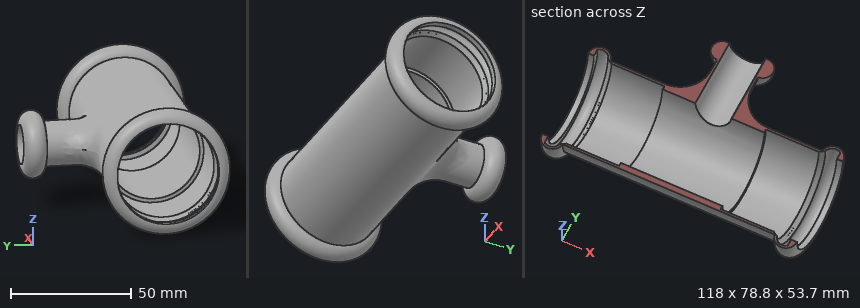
import cadquery as cq
import math

length = 118.0
pipe_radius = 22.5
wall = 1.3
socket_radius = pipe_radius - wall
bore_radius = 19.6
socket_depth = 35.4

bead_width = 10.0
bead_diameter = 53.7
bead_radius = bead_width / 2
bead_outer_radius = bead_diameter / 2
bead_center_radius = bead_outer_radius - bead_radius

lip_radius = 21.5
lip_length = 2.8
groove_radius = bead_radius - wall
groove_end = 8.6
cone_end = 11.0

overall_depth = 78.8
branch_end = overall_depth - bead_outer_radius
branch_radius = 9.5
branch_bore_radius = branch_radius - wall
branch_bead_radius = 4.8
branch_bead_center_radius = 9.4
junction_fillet = 14.2
selection_margin = 1.2


def groove_height(x):
    """Distance of the round groove wall from the pipe axis, x from the mouth."""
    return bead_center_radius + math.sqrt(groove_radius**2 - (x - bead_radius)**2)


def both_ends(body):
    """The body at the left end together with its mirror image at the right end."""
    return body.union(body.mirror("YZ", (length / 2, 0, 0)))


def main_bead():
    """Full torus; the socket cavity trims its inner half at the lip."""
    return (
        cq.Workplane("XY")
        .center(bead_radius, bead_center_radius)
        .circle(bead_radius)
        .revolve(360, (-bead_radius, -bead_center_radius, 0), (0, -bead_center_radius, 0))
    )


def socket_cavity():
    """Lip, round groove, lead-in cone and straight socket."""
    return (
        cq.Workplane("XY")
        .lineTo(0, lip_radius)
        .lineTo(lip_length, lip_radius)
        .lineTo(lip_length, groove_height(lip_length))
        .threePointArc(
            (bead_radius, groove_height(bead_radius)),
            (groove_end, groove_height(groove_end)),
        )
        .lineTo(cone_end, socket_radius)
        .lineTo(socket_depth, socket_radius)
        .lineTo(socket_depth, 0)
        .close()
        .revolve(360, (0, 0, 0), (1, 0, 0))
    )


def branch_bead():
    bead_start = branch_end - 2 * branch_bead_radius
    bead_middle = branch_end - branch_bead_radius
    return (
        cq.Workplane("XY", origin=(length / 2, 0, 0))
        .moveTo(0, bead_start)
        .lineTo(branch_bead_center_radius, bead_start)
        .threePointArc(
            (branch_bead_center_radius + branch_bead_radius, bead_middle),
            (branch_bead_center_radius, branch_end),
        )
        .lineTo(0, branch_end)
        .close()
        .revolve(360, (0, 0, 0), (0, 1, 0))
    )


def branch_cylinder(radius, end):
    """Cylinder from the main axis out along +Y."""
    return cq.Workplane("XZ", origin=(length / 2, 0, 0)).circle(radius).extrude(-end)


pipe = (
    cq.Workplane("YZ", origin=(bead_radius, 0, 0))
    .circle(pipe_radius)
    .extrude(length - bead_width)
)
branch = branch_cylinder(branch_radius, branch_end - branch_bead_radius)
reach = branch_radius + selection_margin
junction_box = cq.selectors.BoxSelector(
    (length / 2 - reach, selection_margin, -reach),
    (length / 2 + reach, pipe_radius + selection_margin, reach),
    boundingbox=True,
)
body = pipe.union(branch).edges(junction_box).fillet(junction_fillet)
body = body.union(both_ends(main_bead())).union(branch_bead())

through_bore = cq.Workplane("YZ").circle(bore_radius).extrude(length)
result = (
    body.cut(through_bore)
    .cut(both_ends(socket_cavity()))
    .cut(branch_cylinder(branch_bore_radius, branch_end))
)